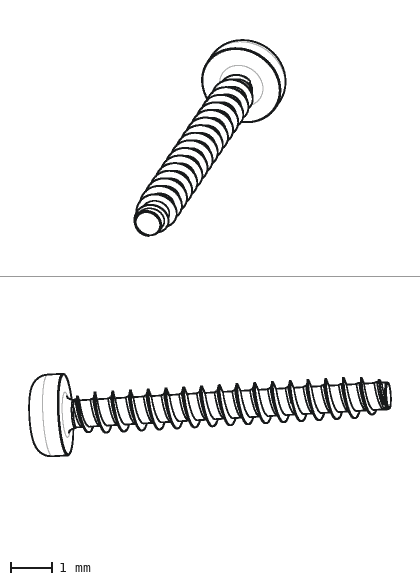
import cadquery as cq
import math

HEAD_RADIUS = 1.0
HEAD_HEIGHT = 0.8
HEAD_CROWN_RADIUS = 0.4
HEAD_RIM_CHAMFER = 0.02

SHANK_LENGTH = 8.0
CORE_RADIUS = 0.33
NECK_RADIUS = 0.35
NECK_FILLET = 0.2
NECK_END_DEPTH = 0.24
TIP_CHAMFER_RADIAL = 0.02
TIP_CHAMFER_LENGTH = 0.03
TIP_DIMPLE_DEPTH = 0.025

THREAD_PITCH = 0.44
THREAD_RADIUS = 0.5
CREST_HALF_WIDTH = 0.012
FLANK_RADIUS = 0.36
FLANK_OFFSET = 0.06
BURIED_RADIUS = 0.30
HEAD_SIDE_BASE_WIDTH = 0.20
TIP_SIDE_BASE_WIDTH = 0.09
THREAD_PHASE_DEPTH = 0.615
THREAD_START_TURN = -1.5
THREAD_END_TURN = 16.75
TIP_CLEARANCE = 0.05
RUNOUT_TURNS = 1.75
POINTS_PER_TURN = 16


def make_body():
    """Head, neck fillet and core, revolved about the Y axis."""
    neck_fillet_center = (NECK_RADIUS + NECK_FILLET, -NECK_FILLET)
    crown_center = (HEAD_RADIUS - HEAD_CROWN_RADIUS, HEAD_HEIGHT - HEAD_CROWN_RADIUS)
    diagonal = math.sqrt(0.5)
    crown_middle = (
        crown_center[0] + HEAD_CROWN_RADIUS * diagonal,
        crown_center[1] + HEAD_CROWN_RADIUS * diagonal,
    )
    neck_fillet_middle = (
        neck_fillet_center[0] - NECK_FILLET * diagonal,
        neck_fillet_center[1] + NECK_FILLET * diagonal,
    )
    tip_radius = CORE_RADIUS - TIP_CHAMFER_RADIAL
    dimple_radius = (tip_radius**2 + TIP_DIMPLE_DEPTH**2) / (2 * TIP_DIMPLE_DEPTH)
    dimple_center_y = TIP_DIMPLE_DEPTH - SHANK_LENGTH - dimple_radius
    dimple_middle_x = tip_radius / 2
    dimple_middle = (
        dimple_middle_x,
        dimple_center_y + math.sqrt(dimple_radius**2 - dimple_middle_x**2),
    )
    return (
        cq.Workplane("XY")
        .moveTo(0, HEAD_HEIGHT)
        .lineTo(crown_center[0], HEAD_HEIGHT)
        .threePointArc(crown_middle, (HEAD_RADIUS, crown_center[1]))
        .lineTo(HEAD_RADIUS, HEAD_RIM_CHAMFER)
        .lineTo(HEAD_RADIUS - HEAD_RIM_CHAMFER, 0)
        .lineTo(neck_fillet_center[0], 0)
        .threePointArc(neck_fillet_middle, (NECK_RADIUS, -NECK_FILLET))
        .lineTo(CORE_RADIUS, -NECK_END_DEPTH)
        .lineTo(CORE_RADIUS, TIP_CHAMFER_LENGTH - SHANK_LENGTH)
        .lineTo(tip_radius, -SHANK_LENGTH)
        .threePointArc(dimple_middle, (0, TIP_DIMPLE_DEPTH - SHANK_LENGTH))
        .close()
        .revolve(360, (0, 0, 0), (0, 1, 0))
    )


def crest_radius(turn):
    """Crest radius: grows from the flank radius at either end to the full thread radius."""
    turns_from_end = min(turn - THREAD_START_TURN, THREAD_END_TURN - turn)
    height_share = min(1.0, turns_from_end / RUNOUT_TURNS)
    return FLANK_RADIUS + (THREAD_RADIUS - FLANK_RADIUS) * height_share


def thread_curve(nominal_radius, axial_offset):
    """Right-handed helix along -Y, held at or below the crest radius of each turn."""
    turns = THREAD_END_TURN - THREAD_START_TURN
    steps = round(turns * POINTS_PER_TURN)
    points = []
    for step in range(steps + 1):
        turn = THREAD_START_TURN + turns * step / steps
        radius = min(nominal_radius, crest_radius(turn))
        angle = 2 * math.pi * turn
        depth = THREAD_PHASE_DEPTH + THREAD_PITCH * turn + axial_offset
        points.append(cq.Vector(radius * math.cos(angle), -depth, radius * math.sin(angle)))
    return cq.Edge.makeSpline(points)


def end_cap(corners):
    """Flat face closing the thread ridge at one end."""
    return cq.Face.makeFromWires(cq.Wire.makePolygon(corners, close=True))


def make_thread():
    """Thread ridge: ruled faces between corner curves and two end caps, trimmed to the core."""
    profile = [
        (BURIED_RADIUS, -HEAD_SIDE_BASE_WIDTH),
        (FLANK_RADIUS, -FLANK_OFFSET),
        (THREAD_RADIUS, -CREST_HALF_WIDTH),
        (THREAD_RADIUS, CREST_HALF_WIDTH),
        (BURIED_RADIUS, TIP_SIDE_BASE_WIDTH),
    ]
    curves = [thread_curve(radius, offset) for radius, offset in profile]
    faces = [
        cq.Face.makeRuledSurface(curve, curves[index - 1])
        for index, curve in enumerate(curves)
    ]
    faces.append(end_cap([curve.startPoint() for curve in curves]))
    faces.append(end_cap([curve.endPoint() for curve in curves]))
    ridge = cq.Workplane(cq.Solid.makeSolid(cq.Shell.makeShell(faces)))
    threaded_zone = (
        cq.Workplane("XZ", origin=(0, -NECK_END_DEPTH, 0))
        .circle(HEAD_RADIUS)
        .extrude(SHANK_LENGTH - TIP_CLEARANCE - NECK_END_DEPTH)
    )
    return ridge.intersect(threaded_zone)


result = make_body().union(make_thread())